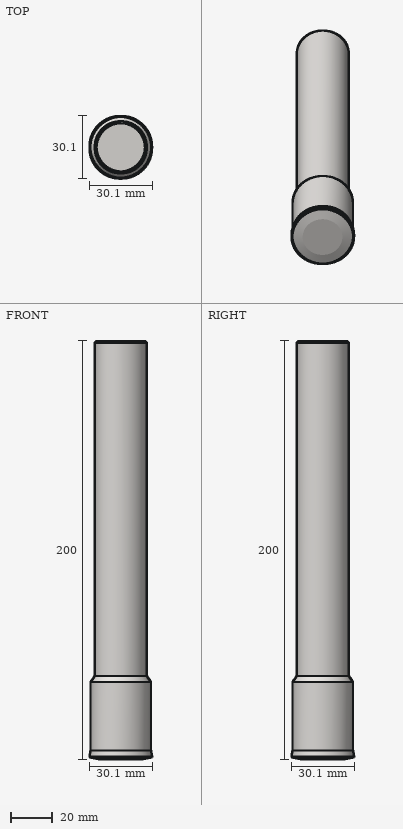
import cadquery as cq

tool_length = 200.0
cutting_diameter = 30.11

shank_diameter = 25.0
shank_end_chamfer = 1.0
neck_diameter = 29.0
neck_top = 40.0
neck_shoulder_height = 3.0

head_height = 4.5
head_face_diameter = 19.0
rim_height = 1.6
rim_bevel_width = 0.6
rim_bevel_height = 0.6


def make_holder():
    """Straight shank with a chamfered end, widening through a cone to the neck."""
    shank_radius = shank_diameter / 2
    neck_radius = neck_diameter / 2
    profile = (
        cq.Workplane("XZ")
        .moveTo(0, head_height)
        .lineTo(neck_radius, head_height)
        .lineTo(neck_radius, neck_top - neck_shoulder_height)
        .lineTo(shank_radius, neck_top)
        .lineTo(shank_radius, tool_length - shank_end_chamfer)
        .lineTo(shank_radius - shank_end_chamfer, tool_length)
        .lineTo(0, tool_length)
        .close()
    )
    return profile.revolve(360, (0, 0, 0), (0, 1, 0))


def make_cutting_head():
    """Disc with a flat face, a shallow cone, a bevelled rim and a taper back to the neck."""
    rim_radius = cutting_diameter / 2
    profile = (
        cq.Workplane("XZ")
        .lineTo(head_face_diameter / 2, 0)
        .lineTo(rim_radius - rim_bevel_width, rim_height - rim_bevel_height)
        .lineTo(rim_radius, rim_height)
        .lineTo(neck_diameter / 2, head_height)
        .lineTo(0, head_height)
        .close()
    )
    return profile.revolve(360, (0, 0, 0), (0, 1, 0))


holder = make_holder()
cutting_head = make_cutting_head()

result = cq.Compound.makeCompound([holder.val(), cutting_head.val()])